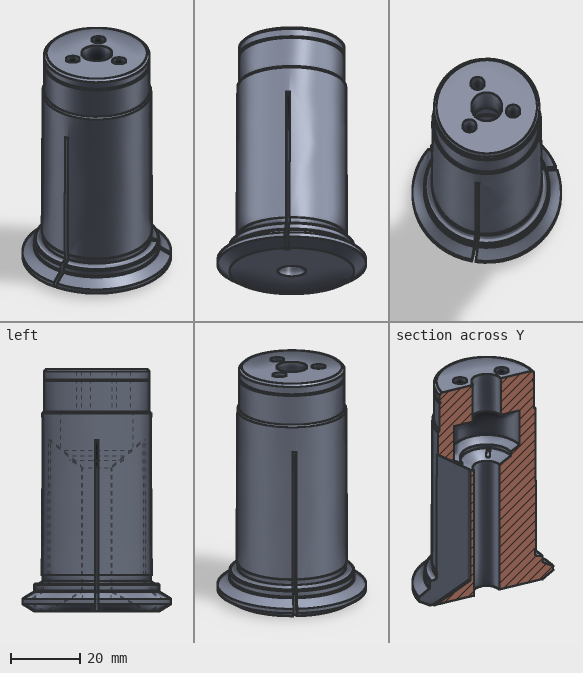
import cadquery as cq
import math


length = 70.0

flange_radius = 21.5
foot_radius = 18.0
flange_bottom = 2.2
flange_top = 3.7
flange_edge = 0.2
cone_top = 5.6
cone_top_radius = 18.2
collar_radius = 18.05
collar_bottom = 6.0
collar_top = 8.05
collar_edge = 0.4

neck_radius = 15.7
neck_arc_radius = 1.6
neck_arc_width = 1.3
neck_arc_height = 0.7
neck_top = 10.4

body_bottom = 10.85
body_bottom_radius = 15.95
body_edge_width = 0.1
body_top = 57.05
body_top_radius = 15.75
shoulder_top = 57.7

cap_radius = 30.5 / 2
cap_chamfer = 0.8
cap_groove_bottom = 66.5
cap_groove_top = 66.9
cap_groove_depth = 0.2

bore_radius = 8.1 / 2
step_radius = 15.5 / 2
step_bottom = 43.55
step_top = 44.8
pocket_radius = 21.0 / 2
pocket_top = shoulder_top
cone_slope = math.tan(math.radians(30))
bore_top = step_bottom - (step_radius - bore_radius) * cone_slope
pocket_floor = step_top + (pocket_radius - step_radius) * cone_slope

centre_hole_radius = 8.9 / 2
side_hole_radius = 4.0 / 2
side_hole_circle_radius = step_radius
side_hole_angles = (30, 150, 270)

slot_width = 1.1
slot_angles = (60, 180, 300)
slot_inner_radius = 10.5 / 2
slot_outer_radius = flange_radius + 0.7
floor_foot_radius = 16.8
floor_slope = math.tan(math.radians(25.5))
roof_outer_level = 49.5
roof_slope = math.tan(math.radians(36))


def revolve_around_axis(outline):
    """Turn a closed (radius, height) outline around the Z axis."""
    return outline.close().revolve(360, (0, 0), (0, 1))


def outer_body():
    outline = (
        cq.Workplane("XZ")
        .lineTo(foot_radius, 0)
        .lineTo(flange_radius, flange_bottom)
        .lineTo(flange_radius, flange_top - flange_edge)
        .lineTo(flange_radius - flange_edge, flange_top)
        .lineTo(cone_top_radius, cone_top)
        .lineTo(collar_radius, collar_bottom)
        .lineTo(collar_radius, collar_top - collar_edge)
        .lineTo(collar_radius - collar_edge, collar_top)
        .lineTo(neck_radius + neck_arc_width, collar_top)
        .radiusArc((neck_radius, collar_top + neck_arc_height), neck_arc_radius)
        .lineTo(neck_radius, neck_top)
        .lineTo(body_bottom_radius - body_edge_width, neck_top)
        .lineTo(body_bottom_radius, body_bottom)
        .lineTo(body_top_radius, body_top)
        .lineTo(cap_radius, shoulder_top)
        .lineTo(cap_radius, cap_groove_bottom)
        .lineTo(cap_radius - cap_groove_depth, cap_groove_bottom)
        .lineTo(cap_radius - cap_groove_depth, cap_groove_top)
        .lineTo(cap_radius, cap_groove_top)
        .lineTo(cap_radius, length - cap_chamfer)
        .lineTo(cap_radius - cap_chamfer, length)
        .lineTo(0, length)
    )
    return revolve_around_axis(outline)


def inner_cavity():
    outline = (
        cq.Workplane("XZ")
        .lineTo(bore_radius, 0)
        .lineTo(bore_radius, bore_top)
        .lineTo(step_radius, step_bottom)
        .lineTo(step_radius, step_top)
        .lineTo(pocket_radius, pocket_floor)
        .lineTo(pocket_radius, pocket_top)
        .lineTo(0, pocket_top)
    )
    return revolve_around_axis(outline)


def cap_holes():
    cap_thickness = length - pocket_top
    hole_base = cq.Workplane("XY").workplane(offset=pocket_top)
    holes = hole_base.circle(centre_hole_radius).extrude(cap_thickness)
    for angle in side_hole_angles:
        x = side_hole_circle_radius * math.cos(math.radians(angle))
        y = side_hole_circle_radius * math.sin(math.radians(angle))
        side_hole = hole_base.center(x, y).circle(side_hole_radius).extrude(cap_thickness)
        holes = holes.union(side_hole)
    return holes


def slot_cutter():
    """One slot along +X: its floor rises inward and its roof rises outward."""

    def floor_height(radius):
        return (floor_foot_radius - radius) * floor_slope

    def roof_height(radius):
        return roof_outer_level + (radius - body_top_radius) * roof_slope

    side_shape = (
        cq.Workplane("XZ")
        .moveTo(slot_inner_radius, floor_height(slot_inner_radius))
        .lineTo(slot_outer_radius, floor_height(slot_outer_radius))
        .lineTo(slot_outer_radius, roof_height(slot_outer_radius))
        .lineTo(slot_inner_radius, roof_height(slot_inner_radius))
        .close()
        .extrude(slot_width, both=True)
    )
    round_end = slot_inner_radius + slot_width / 2
    plan_shape = (
        cq.Workplane("XY")
        .workplane(offset=floor_height(slot_outer_radius))
        .moveTo(slot_outer_radius, -slot_width / 2)
        .lineTo(slot_outer_radius, slot_width / 2)
        .lineTo(round_end, slot_width / 2)
        .threePointArc((slot_inner_radius, 0), (round_end, -slot_width / 2))
        .close()
        .extrude(length)
    )
    return side_shape.intersect(plan_shape)


result = outer_body().cut(inner_cavity()).cut(cap_holes())
for slot_angle in slot_angles:
    result = result.cut(slot_cutter().rotate((0, 0, 0), (0, 0, 1), slot_angle))